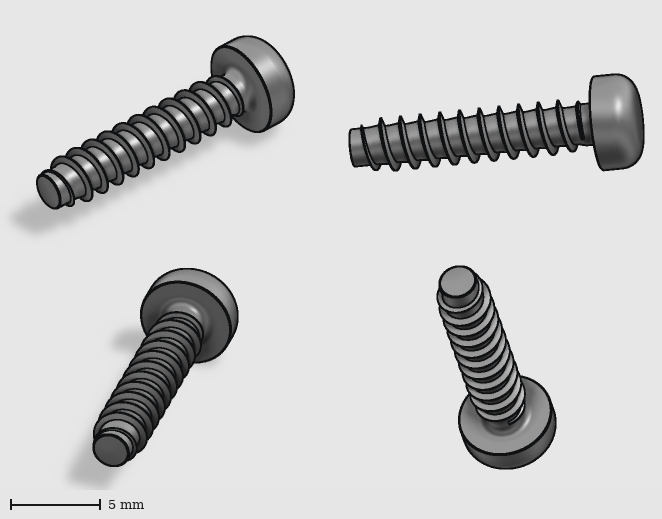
import cadquery as cq
import math

total_length = 16.3
head_diameter = 5.3
head_height = 2.3
head_crown_radius = 1.15
head_edge_chamfer = 0.06

neck_radius = 1.17
neck_fillet = 0.5
neck_length = 0.77
core_radius = 1.055
core_start = 1.2
tip_chamfer_width = 0.07
tip_chamfer_length = 0.05
tip_cone_height = 0.03

pitch = 1.12
depth_at_turn_zero = 0.83
start_turn = -0.2
full_start_turn = 1.0
fade_turn = 10.25
end_turn = 11.625
start_scale = 0.5
end_scale = 0.1
fade_radius = 1.0
run_in_shift = 0.19
run_in_turns = 0.4
points_per_turn = 16

crest_radius = 1.51
crest_half_width = 0.03
shoulder_radius = 1.13
shoulder_offset = 0.15
swell_end_radius = 1.035
swell_end = 0.86
buried_radius = 0.85
root_head_side = 0.27

head_top = total_length / 2
head_underside = head_top - head_height
tip = -total_length / 2


def make_body():
    """Head, neck, core and tip turned about Y; the half outline lies in the ZY plane."""
    head_radius = head_diameter / 2
    crown_middle = head_crown_radius * (1 - math.sqrt(0.5))
    fillet_middle = neck_fillet * (1 - math.sqrt(0.5))
    rim = tip + tip_cone_height
    return (
        cq.Workplane("ZY")
        .moveTo(0, head_top)
        .lineTo(head_radius - head_crown_radius, head_top)
        .threePointArc(
            (head_radius - crown_middle, head_top - crown_middle),
            (head_radius, head_top - head_crown_radius),
        )
        .lineTo(head_radius, head_underside + head_edge_chamfer)
        .lineTo(head_radius - head_edge_chamfer, head_underside)
        .lineTo(neck_radius + neck_fillet, head_underside)
        .threePointArc(
            (neck_radius + fillet_middle, head_underside - fillet_middle),
            (neck_radius, head_underside - neck_fillet),
        )
        .lineTo(neck_radius, head_underside - neck_length)
        .lineTo(core_radius, head_underside - core_start)
        .lineTo(core_radius, rim + tip_chamfer_length)
        .lineTo(core_radius - tip_chamfer_width, rim)
        .lineTo(0, tip)
        .close()
        .revolve(360, (0, 0, 0), (0, 1, 0))
    )


def crest_depth(turn):
    """Depth of the crest below the head; the run-in shifts the first part towards the tip."""
    run_in = max(0, 1 - (turn - start_turn) / run_in_turns)
    return depth_at_turn_zero + pitch * turn + run_in_shift * run_in**2


def growth(turn):
    """Height of the ridge against the full one while it grows at the start of the thread."""
    return min(1, start_scale + (1 - start_scale) * (turn - start_turn) / (full_start_turn - start_turn))


def shrinkage(turn):
    """Size of the ridge against the full one while it shrinks away at the end of the thread."""
    return 1 - (1 - end_scale) * max(0, turn - fade_turn) / (end_turn - fade_turn)


def helix_edge(section_radius, section_offset):
    """Edge followed by one corner of the thread section along the whole thread."""
    steps = round((end_turn - start_turn) * points_per_turn)
    turns = [start_turn + step / points_per_turn for step in range(steps + 1)]
    points = []
    for turn in turns:
        radius = fade_radius + (section_radius - fade_radius) * growth(turn) * shrinkage(turn)
        y = head_underside - crest_depth(turn) - section_offset * shrinkage(turn)
        angle = 2 * math.pi * turn
        points.append(cq.Vector(radius * math.cos(angle), y, radius * math.sin(angle)))
    return cq.Edge.makeSpline(points, parameters=turns)


def make_thread():
    """Thread ridge with the swell of the core on its tip side, closed inside the core."""
    section = [
        (buried_radius, -root_head_side),
        (crest_radius, -crest_half_width),
        (crest_radius, crest_half_width),
        (shoulder_radius, shoulder_offset),
        (swell_end_radius, swell_end),
        (buried_radius, swell_end),
    ]
    edges = [helix_edge(radius, offset) for radius, offset in section]
    next_edges = edges[1:] + edges[:1]
    faces = []
    for edge, next_edge in zip(edges, next_edges):
        faces.append(cq.Face.makeRuledSurface(edge, next_edge))
    for corners in (
        [edge.startPoint() for edge in edges],
        [edge.endPoint() for edge in edges],
    ):
        faces.append(cq.Face.makeFromWires(cq.Wire.makePolygon(corners, close=True)))
    return cq.Workplane(cq.Solid.makeSolid(cq.Shell.makeShell(faces)))


result = make_body().union(make_thread())